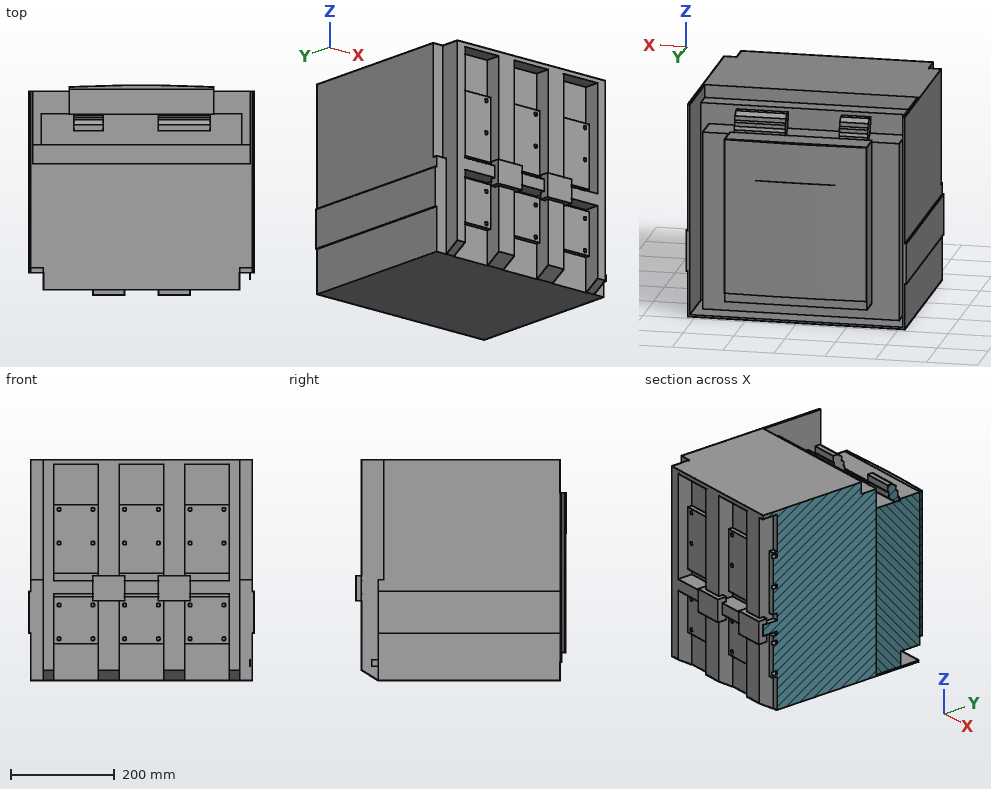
import cadquery as cq


WIDTH = 433.0
DEPTH = 404.5
HEIGHT = 425.0
TOP_Z = HEIGHT / 2
BOTTOM_Z = -HEIGHT / 2

RAIL_OUT = 3.0
SIDE_X = WIDTH / 2 - RAIL_OUT
SHEET = 4.5
INNER_X = SIDE_X - SHEET
REAR_Y = 190.5
SIDE_FRONT_Y = -159.5
UPPER_SIDE_FRONT_Y = -149.0
STEP_Z = -18.5
RAIL_TOP_Z = -40.5
RAIL_BOTTOM_Z = -121.2
BLOCK_REAR_Y = 50.5
LEDGE_REAR_Y = 87.0
LEDGE_Z = 187.0

CLIP_OUT = 10.5
FRAME_FRONT_Y = -DEPTH / 2 + CLIP_OUT
FRAME_X = 189.0
BEVEL_RISE = 20.5
POLE_PITCH = 126.0
POLE_PLACES = (-POLE_PITCH, 0, POLE_PITCH)
WINDOW_WIDTH = 86.0
WINDOW_TOP_Z = 203.5
BAR_TOP_Z = -21.0
BAR_BOTTOM_Z = -45.0
WINDOW_FLOOR_Y = -157.5

PAD_OUT = 10.0
PAD_FRONT_Y = WINDOW_FLOOR_Y - PAD_OUT
UPPER_PAD_Z = (-6.5, 125.5)
LOWER_PAD_Z = (-141.0, -51.0)
HOLE_DIAMETER = 7.0
HOLE_SPACING = 65.0
UPPER_HOLES_MID_Z = 84.5
LOWER_HOLES_MID_Z = -99.5

CLIP_WIDTH = 61.0
CLIP_TOP_Z = -10.5
CLIP_BOTTOM_Z = -59.5
CLIP_BACK = 10.0

TAB_X = 208.5
TAB_THICKNESS = 0.5
TAB_SIDE = 12.0
TAB_TOP_Z = -172.5

BREAKER_X = 193.0
BREAKER_REAR_Y = 147.0
BREAKER_TOP_Z = 146.0

NOSE_X = 139.5
NOSE_FRONT_Y = 145.5
NOSE_REAR_Y = 193.5
NOSE_TOP_Z = 149.0
NOSE_BOTTOM_Z = -177.0

PANEL_EDGE_Y = 198.5
PANEL_CROWN_Y = 201.5
PANEL_BOTTOM_Z = -159.0
DISPLAY_X = 137.3
DISPLAY_EDGE_Y = 196.5
DISPLAY_CROWN_Y = DEPTH / 2
DISPLAY_BOTTOM_Z = 71.0

PLUG_SPANS = ((-130.0, -74.0), (32.0, 132.0))
PLUG_OUTLINE = (
    (131.5, 0.0),
    (117.5, 11.5),
    (116.5, 25.0),
    (114.0, 26.0),
    (114.0, 40.5),
    (126.0, 40.5),
    (135.0, 33.0),
    (135.0, 24.2),
    (139.5, 21.2),
    (139.5, 13.5),
    (142.5, 7.0),
    (142.5, 0.0),
)


def box(x_range, y_range, z_range):
    """Box between the given low and high limits on each axis."""
    size = [high - low for low, high in (x_range, y_range, z_range)]
    corner = (x_range[0], y_range[0], z_range[0])
    return cq.Workplane("XY").box(*size, centered=False).translate(corner)


def across(center, width):
    """Low and high limits of a width about a centre."""
    return (center - width / 2, center + width / 2)


def side_profile(points, x_range):
    """Prism of a (Y, Z) outline that runs along X."""
    length = x_range[1] - x_range[0]
    return cq.Workplane("YZ").workplane(offset=x_range[0]).polyline(points).close().extrude(length)


def chassis_shell():
    """Stepped sides, rear ledge, floor and the two long side rails."""
    outline = [
        (SIDE_FRONT_Y, BOTTOM_Z),
        (SIDE_FRONT_Y, STEP_Z),
        (UPPER_SIDE_FRONT_Y, STEP_Z),
        (UPPER_SIDE_FRONT_Y, TOP_Z),
        (REAR_Y, TOP_Z),
        (REAR_Y, BOTTOM_Z),
    ]
    shell = side_profile(outline, (-SIDE_X, SIDE_X))
    inside = (-INNER_X, INNER_X)
    shell = shell.cut(box(inside, (BLOCK_REAR_Y, REAR_Y), (LEDGE_Z, TOP_Z)))
    shell = shell.cut(box(inside, (LEDGE_REAR_Y, REAR_Y), (BOTTOM_Z + SHEET, TOP_Z)))
    for x_range in ((-WIDTH / 2, -SIDE_X), (SIDE_X, WIDTH / 2)):
        rail = box(x_range, (SIDE_FRONT_Y, REAR_Y), (RAIL_BOTTOM_Z, RAIL_TOP_Z))
        shell = shell.union(rail)
    return shell


def front_frame():
    """Frame with a bevelled foot, ahead of the stepped sides."""
    outline = [
        (UPPER_SIDE_FRONT_Y, BOTTOM_Z),
        (SIDE_FRONT_Y, BOTTOM_Z),
        (FRAME_FRONT_Y, BOTTOM_Z + BEVEL_RISE),
        (FRAME_FRONT_Y, TOP_Z),
        (UPPER_SIDE_FRONT_Y, TOP_Z),
    ]
    return side_profile(outline, (-FRAME_X, FRAME_X))


def cut_windows(body):
    """A closed upper window and a lower window open at the bottom, at each pole."""
    for x in POLE_PLACES:
        for z_range in ((BAR_TOP_Z, WINDOW_TOP_Z), (BOTTOM_Z, BAR_BOTTOM_Z)):
            window = box(across(x, WINDOW_WIDTH), (FRAME_FRONT_Y, WINDOW_FLOOR_Y), z_range)
            body = body.cut(window)
    return body


def terminal_pad(x, z_range, holes_mid_z):
    """Raised pad with four bolt holes as deep as the pad."""
    pad = box(across(x, WINDOW_WIDTH), (PAD_FRONT_Y, WINDOW_FLOOR_Y), z_range)
    holes = (
        cq.Workplane("XZ", origin=(x, PAD_FRONT_Y, holes_mid_z))
        .rarray(HOLE_SPACING, HOLE_SPACING, 2, 2)
        .circle(HOLE_DIAMETER / 2)
        .extrude(-PAD_OUT)
    )
    return pad.cut(holes)


def rib_clip(x):
    """Clip that wraps the front and flanks of one rib."""
    y_range = (-DEPTH / 2, FRAME_FRONT_Y + CLIP_BACK)
    return box(across(x, CLIP_WIDTH), y_range, (CLIP_BOTTOM_Z, CLIP_TOP_Z))


def make_chassis():
    chassis = cut_windows(chassis_shell().union(front_frame()))
    for x in POLE_PLACES:
        chassis = chassis.union(terminal_pad(x, UPPER_PAD_Z, UPPER_HOLES_MID_Z))
        chassis = chassis.union(terminal_pad(x, LOWER_PAD_Z, LOWER_HOLES_MID_Z))
    for x in (-POLE_PITCH / 2, POLE_PITCH / 2):
        chassis = chassis.union(rib_clip(x))
    tab = box(
        across(TAB_X, TAB_THICKNESS),
        (SIDE_FRONT_Y - TAB_SIDE, SIDE_FRONT_Y),
        (TAB_TOP_Z - TAB_SIDE, TAB_TOP_Z),
    )
    return chassis.union(tab)


def crowned_plate(half_width, edge_y, crown_y, bottom_z):
    """Plate on the rear of the breaker whose outer face is an arc across X."""
    return (
        cq.Workplane("XY", origin=(0, 0, bottom_z))
        .moveTo(-half_width, NOSE_REAR_Y)
        .lineTo(half_width, NOSE_REAR_Y)
        .lineTo(half_width, edge_y)
        .threePointArc((0, crown_y), (-half_width, edge_y))
        .close()
        .extrude(NOSE_TOP_Z - bottom_z)
    )


def make_cover():
    """Crowned panel with a higher crowned display at its top."""
    panel = crowned_plate(NOSE_X, PANEL_EDGE_Y, PANEL_CROWN_Y, PANEL_BOTTOM_Z)
    display = crowned_plate(DISPLAY_X, DISPLAY_EDGE_Y, DISPLAY_CROWN_Y, DISPLAY_BOTTOM_Z)
    return panel.union(display)


def make_breaker():
    """Block on the chassis floor, with a narrower nose to the rear that carries the cover."""
    block = box(
        (-BREAKER_X, BREAKER_X),
        (LEDGE_REAR_Y, BREAKER_REAR_Y),
        (BOTTOM_Z + SHEET, BREAKER_TOP_Z),
    )
    nose = box((-NOSE_X, NOSE_X), (NOSE_FRONT_Y, NOSE_REAR_Y), (NOSE_BOTTOM_Z, NOSE_TOP_Z))
    return block.union(nose)


def make_plug(x_range):
    """Wiring plug standing on the breaker."""
    points = [(y, BREAKER_TOP_Z + rise) for y, rise in PLUG_OUTLINE]
    return side_profile(points, x_range)


chassis = make_chassis()
cover = make_cover()
breaker = make_breaker()
plugs = [make_plug(x_range).val() for x_range in PLUG_SPANS]

result = cq.Compound.makeCompound([chassis.val(), breaker.val(), cover.val(), *plugs])